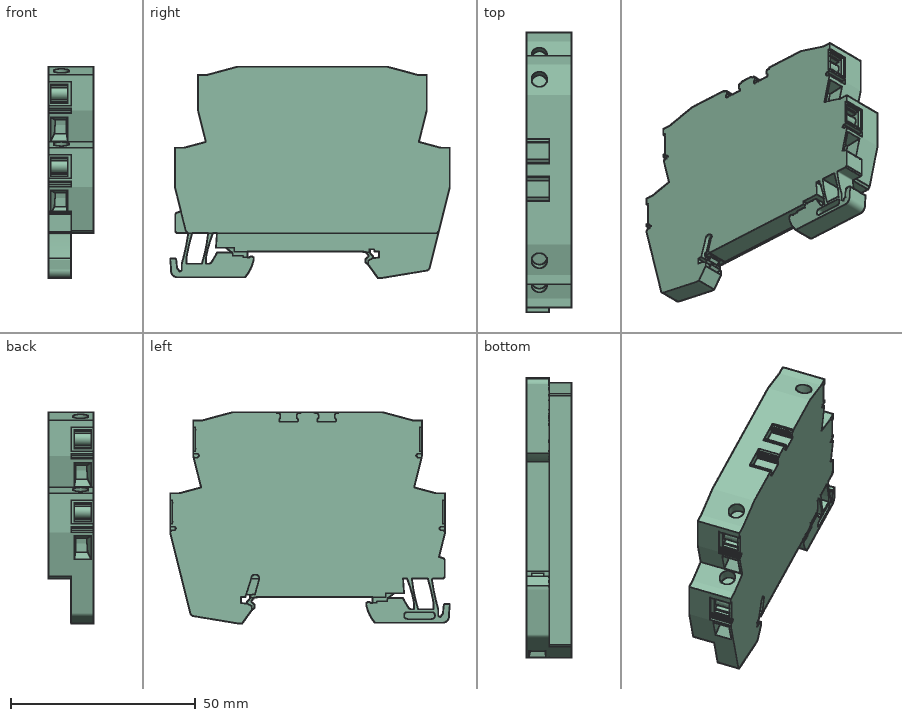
import cadquery as cq
import math

body_width = 12.2
foot_width = body_width / 2
top_z = 57.2
core_bottom_z = 12.2
seat_z = 7.2

roof_half = 20.2
shoulder_slope = 0.27
side_slope = 0.25
upper_half = 30.95
upper_ledge = 28.5
lower_half = 37.21
lower_ledge = 34.75
upper_top_z = top_z - shoulder_slope * (upper_ledge - roof_half)
lower_top_z = 35.3
upper_slope_z = 45.35
lower_slope_z = 24.6
core_bevel = 0.6

waist_y = (
    upper_half - side_slope * (upper_slope_z - lower_top_z - shoulder_slope * lower_ledge)
) / (1 + side_slope * shoulder_slope)
waist_z = lower_top_z + shoulder_slope * (lower_ledge - waist_y)

tiers = [
    (upper_half, upper_top_z, upper_slope_z),
    (lower_half, lower_top_z, lower_slope_z),
]

terminal_x = 2.915
pocket_drop = 1.9
pocket_height = 6.4
pocket_depth = 0.6
window_width = 4.5
window_height = 5.15
window_step_depth = 0.9
window_back_height = 4.25
window_depth = 2.6
roller_radius = 1.63
notch_drop = 9.0
notch_height = 1.05
notch_depth = 1.7
notch_tip = 0.5
notch_chamfer = 0.45
funnel_drop = 11.35
funnel_height = 6.65
funnel_width = 4.6
funnel_floor_width = 3.0
funnel_floor_height = 3.5
funnel_depth = 3.8
funnel_floor_shift = (0.4, -0.15)
funnel_stop_drop = 13.6
screw_hole_x = 3.5
screw_hole_diameter = 4.25
screw_hole_depth = 3.8
upper_hole_y = 24.5
lower_hole_y = 31.0
screw_hole_places = [
    (upper_hole_y, top_z - shoulder_slope * (upper_hole_y - roof_half)),
    (lower_hole_y, lower_top_z + shoulder_slope * (lower_ledge - lower_hole_y)),
]

groove_y = 5.15
groove_lip_depth = 0.4
groove_depth = 2.6
groove_neck_half = 2.2
groove_floor_half = 2.6
groove_corner = 0.2

clip_inset = 1.4
clip_width = foot_width - 2 * clip_inset
clip_slot_y = 14.15
clip_slot_radius = 1.1
clip_tab = (14.2, 7.95)
notch_ceiling = 7.8
foot_slot_length = 8.4
foot_slot_height = 1.9
foot_slot_depth = 4.55
foot_slot_middle = (-30.3, 2.2)


def side_y(z):
    """Distance of the lower leaning side from the middle at height z."""
    return lower_half - side_slope * (lower_slope_z - z)


def prism(points, start_x, width):
    """Extrude a closed Y-Z outline along X."""
    return cq.Workplane("YZ").workplane(offset=start_x).polyline(points).close().extrude(width)


def both_ends(shape):
    """The shape at the -Y end and its mirror image at the +Y end."""
    return [shape, shape.mirror("XZ")]


def make_core():
    """Full-width stepped body, alike at both ends."""
    end = [
        (roof_half, top_z),
        (upper_ledge, upper_top_z),
        (upper_half, upper_top_z),
        (upper_half, upper_slope_z),
        (waist_y, waist_z),
        (lower_ledge, lower_top_z),
        (lower_half, lower_top_z),
        (lower_half, lower_slope_z),
        (side_y(core_bottom_z + core_bevel), core_bottom_z + core_bevel),
        (side_y(core_bottom_z + core_bevel) - core_bevel, core_bottom_z),
    ]
    mirrored = [(-y, z) for y, z in reversed(end)]
    return prism(end + mirrored, 0, body_width)


def make_fixed_foot():
    """Rail seat and the rigid hook at the +Y end, with a notch above its nose."""
    heel_z = 2.1
    heel_radius = 1.1
    outline = [
        (-25.8, core_bottom_z + core_bevel),
        (-26.1, 8.2),
        (-21.1, 8.2),
        (-21.1, seat_z),
        (13.8, seat_z),
        (13.8, seat_z - 0.15),
        (15.45, seat_z - 0.15),
        (15.45, notch_ceiling),
        (16.65, notch_ceiling),
        (16.8, seat_z),
        (18.0, seat_z),
        (18.0, 5.6),
        (16.4, 5.45),
        (15.15, 4.8),
        (15.15, 3.55),
        (17.7, 0),
        (18.8, 0),
        (side_y(heel_z), heel_z),
        (side_y(core_bottom_z + core_bevel), core_bottom_z + core_bevel),
    ]
    foot = prism(outline, 0, foot_width)
    heel = cq.selectors.NearestToPointSelector((foot_width / 2, side_y(heel_z), heel_z))
    return foot.edges("|X").edges(heel).fillet(heel_radius)


def make_end_block():
    """Block at the -Y end above the latch."""
    block_face = 37.1
    block_back = 30.3
    block_top_z = 17.7
    block_back_z = 18.1
    corner = 0.4
    outline = [
        (-block_back, core_bottom_z),
        (corner - block_face, core_bottom_z),
        (-block_face, core_bottom_z + corner),
        (-block_face, block_top_z - corner),
        (corner - block_face, block_top_z),
        (-side_y(block_back_z), block_back_z),
        (-block_back, block_back_z),
    ]
    return prism(outline, 0, foot_width)


def make_latch():
    """Sprung foot hanging from two bent leaves, with a release hook at its end."""
    floor_z = 0.2
    root_z = core_bottom_z
    root_fillet = 0.45
    web_z = 3.9
    foot = (
        cq.Workplane("YZ")
        .moveTo(-18.2, floor_z)
        .threePointArc((-16.8, 2.3), (-15.8, 5.0))
        .lineTo(-15.8, 5.6)
        .lineTo(-16.5, 6.0)
        .lineTo(-17.1, 5.6)
        .lineTo(-18.6, 5.6)
        .lineTo(-18.8, 6.05)
        .lineTo(-21.5, 6.05)
        .lineTo(-21.65, 7.0)
        .lineTo(-25.75, 7.0)
        .lineTo(-27.4, web_z + 0.2)
        .lineTo(-27.85, web_z)
        .lineTo(-28.6, web_z)
        .lineTo(-35.35, web_z)
        .lineTo(-35.35, 2.1)
        .lineTo(-35.9, 1.8)
        .lineTo(-36.6, 2.7)
        .lineTo(-36.8, 5.0)
        .lineTo(-37.1, 5.4)
        .lineTo(-38.1, 5.4)
        .tangentArcPoint((-38.49, 4.96), relative=False)
        .lineTo(-38.2, 2.35)
        .threePointArc((-37.85, 0.8), (-36.8, floor_z))
        .close()
        .extrude(foot_width)
    )
    inner_leaf = (
        cq.Workplane("YZ")
        .moveTo(-26.9, root_z)
        .threePointArc((-27.9, 9.1), (-28.7, 6.0))
        .lineTo(-28.8, web_z)
        .lineTo(-29.9, web_z)
        .threePointArc((-28.85, 8.1), (-28.2, root_z))
        .close()
        .extrude(foot_width)
    )
    outer_leaf = (
        cq.Workplane("YZ")
        .moveTo(-32.5, root_z)
        .threePointArc((-33.45, 8.5), (-34.0, 5.75))
        .lineTo(-34.0, web_z)
        .lineTo(-35.35, web_z)
        .threePointArc((-34.4, 7.8), (-33.7, root_z - root_fillet))
        .threePointArc((-33.8, root_z - 0.15), (-34.15, root_z))
        .close()
        .extrude(foot_width)
    )
    slot = (
        cq.Workplane("YZ")
        .center(*foot_slot_middle)
        .slot2D(foot_slot_length, foot_slot_height)
        .extrude(foot_slot_depth)
    )
    return foot.union(inner_leaf).union(outer_leaf).cut(slot)


def window_middle_z(tier_top):
    return tier_top - pocket_drop - pocket_height / 2


def make_window(half, tier_top):
    """Shallow marker pocket with a stepped roller window in its floor."""
    middle_z = window_middle_z(tier_top)
    pocket = cq.Workplane("XY").box(
        foot_width, pocket_depth, pocket_height, centered=(False, False, True)
    ).translate((0, -half, middle_z))
    mouth = cq.Workplane("XZ", origin=(terminal_x, pocket_depth - half, middle_z))
    window = mouth.rect(window_width, window_height).extrude(-window_step_depth)
    back = mouth.rect(window_width, window_back_height).extrude(-window_depth)
    return pocket.union(window).union(back)


def make_roller(half, tier_top):
    """Cylinder across the window, half sunk in its back wall."""
    middle_y = pocket_depth + window_depth - half
    return (
        cq.Workplane("YZ", origin=(terminal_x - window_width / 2, middle_y, window_middle_z(tier_top)))
        .circle(roller_radius)
        .extrude(window_width)
    )


def make_notch(half, tier_top):
    """Pointed groove with a bevelled lower lip, below the pocket."""
    top = tier_top - notch_drop
    bottom = top - notch_height
    tip_start = notch_depth - notch_tip
    outline = [
        (-half, top),
        (tip_start - half, top),
        (notch_depth - half, top - notch_height / 2),
        (tip_start - half, bottom),
        (notch_chamfer - half, bottom),
        (-half, bottom - notch_chamfer),
    ]
    return prism(outline, 0, foot_width)


def make_funnel(half, tier_top, slope_z):
    """Wire entry tapering inwards, square to the leaning side, with an upright stop low in its floor."""
    middle_z = tier_top - funnel_drop - funnel_height / 2
    middle_y = side_slope * (slope_z - middle_z) - half
    leaning_side = cq.Plane(
        origin=(terminal_x, middle_y, middle_z), xDir=(1, 0, 0), normal=(0, 1, side_slope)
    )
    funnel = (
        cq.Workplane(leaning_side)
        .rect(funnel_width, funnel_height)
        .workplane(offset=funnel_depth)
        .center(funnel_floor_shift[0], -funnel_floor_shift[1])
        .rect(funnel_floor_width, funnel_floor_height)
        .loft()
    )
    stop_z = tier_top - funnel_stop_drop
    stop_y = middle_y + funnel_depth * math.hypot(1, side_slope) - side_slope * (stop_z - middle_z)
    stop = cq.Workplane("XY").box(
        body_width, funnel_depth, funnel_height, centered=(True, False, False)
    ).translate((terminal_x, stop_y, stop_z - funnel_height))
    return funnel.cut(stop)


def make_screw_hole(y, z):
    """Blind hole square to a shoulder."""
    shoulder = cq.Plane(
        origin=(screw_hole_x, -y, z), xDir=(1, 0, 0), normal=(0, shoulder_slope, -1)
    )
    return cq.Workplane(shoulder).circle(screw_hole_diameter / 2).extrude(screw_hole_depth)


def make_label_groove():
    """Groove with a wide mouth, a narrow neck and an undercut floor."""
    lip_z = top_z - groove_lip_depth
    floor_z = top_z - groove_depth
    outline = [
        (groove_y - 3.5, top_z),
        (groove_y - 3.0, lip_z),
        (groove_y - (groove_neck_half + groove_corner), lip_z),
        (groove_y - groove_neck_half, lip_z - 0.45),
        (groove_y - groove_neck_half, lip_z - 1.1),
        (groove_y - groove_floor_half, lip_z - 1.7),
        (groove_y - groove_floor_half, floor_z + groove_corner),
        (groove_y - (groove_floor_half - groove_corner), floor_z),
        (groove_y + (groove_floor_half - groove_corner), floor_z),
        (groove_y + groove_floor_half, floor_z + groove_corner),
        (groove_y + groove_floor_half, lip_z - 1.7),
        (groove_y + groove_neck_half, lip_z - 1.1),
        (groove_y + groove_neck_half, lip_z - 0.45),
        (groove_y + (groove_neck_half + groove_corner), lip_z),
        (groove_y + 3.1, lip_z),
        (groove_y + 3.25, top_z),
    ]
    return prism(outline, 0, foot_width)


def make_clip_slot():
    """Shallow leaning recess with a round top, above the rail clip."""
    return (
        cq.Workplane("YZ")
        .moveTo(clip_slot_y + clip_slot_radius, core_bottom_z)
        .threePointArc(
            (clip_slot_y, core_bottom_z + clip_slot_radius),
            (clip_slot_y - clip_slot_radius, core_bottom_z),
        )
        .lineTo(*clip_tab)
        .lineTo(15.45, notch_ceiling)
        .lineTo(16.65, notch_ceiling)
        .close()
        .extrude(clip_inset)
    )


def make_rail_clip():
    """Bent strip that runs from the slot down past the nose of the fixed foot."""
    outline = [
        (clip_slot_y + clip_slot_radius, core_bottom_z),
        (clip_slot_y - clip_slot_radius, core_bottom_z),
        clip_tab,
        (14.5, 6.9),
        (15.3, 6.0),
        (14.3, 5.15),
        (14.3, 4.3),
        (15.15, 3.55),
        (15.15, 4.8),
        (16.4, 5.45),
        (16.5, 5.8),
        (15.6, 6.8),
        (15.6, notch_ceiling),
        (16.65, notch_ceiling),
    ]
    return prism(outline, clip_inset, clip_width)


def make_latch_guide():
    """Flat piece that fills the gap between the rail seat and the latch."""
    outline = [
        (-17.5, seat_z),
        (-21.1, seat_z),
        (-21.1, 8.2),
        (-23.4, 8.2),
        (-21.9, 7.0),
        (-21.65, 7.0),
        (-21.5, 6.05),
        (-18.8, 6.05),
        (-18.6, 5.6),
        (-17.5, 5.6),
    ]
    return prism(outline, clip_inset, clip_width)


rail_clip = make_rail_clip()
latch_guide = make_latch_guide()
rollers = []
for half, tier_top, _ in tiers:
    rollers += both_ends(make_roller(half, tier_top))

housing = make_core().union(make_fixed_foot()).union(make_latch())
recesses = both_ends(make_label_groove())
for half, tier_top, slope_z in tiers:
    recesses += both_ends(make_window(half, tier_top))
    recesses += both_ends(make_notch(half, tier_top))
    recesses += both_ends(make_funnel(half, tier_top, slope_z))
for y, z in screw_hole_places:
    recesses += both_ends(make_screw_hole(y, z))
recesses.append(make_clip_slot())
for recess in recesses:
    housing = housing.cut(recess)
housing = housing.union(make_end_block())
for fitted in [rail_clip, *rollers]:
    housing = housing.cut(fitted)

result = cq.Compound.makeCompound(
    [housing.val(), *[roller.val() for roller in rollers], rail_clip.val(), latch_guide.val()]
)